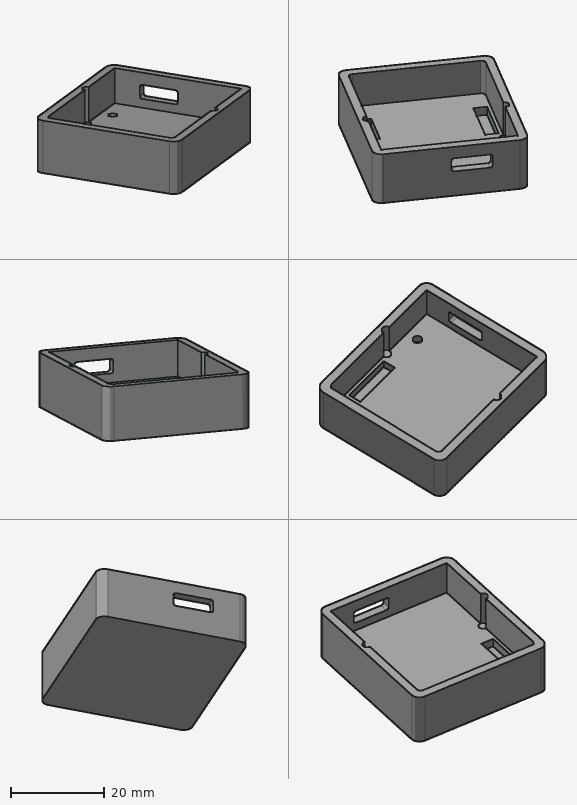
import cadquery as cq

width = 34.0
length = 38.0
height = 12.0
wall = 2.0
corner_radius = 2.0

floor_height = 4.0
cavity_width = width - 2 * wall
cavity_length = length - 2 * wall
cavity_corner_radius = 1.0

bore_diameter = 2.0
wall_bore_y = 3.0
wall_bore_recess = 0.05
recess_depth = 2.0

pocket_width = 3.0
pocket_gap = 0.8
pocket_start_y = -11.0
left_pocket_length = 12.0
right_pocket_length = 9.0
pocket_offset_x = cavity_width / 2 - pocket_gap - pocket_width / 2

floor_hole_x = -pocket_offset_x + (pocket_width - bore_diameter) / 2
floor_hole_y = 10.2

opening_width = 9.0
opening_height = 3.2
opening_radius = 0.6
opening_x = -opening_width / 2
opening_bottom = floor_height + 2.0


def box_from(size_x, size_y, size_z, center_x, center_y, bottom_z):
    """Box centred on a point in X and Y and standing on bottom_z."""
    return (
        cq.Workplane("XY")
        .box(size_x, size_y, size_z, centered=(True, True, False))
        .translate((center_x, center_y, bottom_z))
    )


def round_hole(center_x, center_y, bottom_z):
    """Vertical bore from bottom_z up to the rim."""
    bore = cq.Workplane("XY").circle(bore_diameter / 2).extrude(height - bottom_z)
    return bore.translate((center_x, center_y, bottom_z))


def floor_pocket(center_x, pocket_length):
    """Shallow rectangular pocket in the cavity floor."""
    center_y = pocket_start_y + pocket_length / 2
    bottom = floor_height - recess_depth
    return box_from(pocket_width, pocket_length, recess_depth, center_x, center_y, bottom)


body = box_from(width, length, height, 0, 0, 0).edges("|Z").fillet(corner_radius)

cavity = box_from(cavity_width, cavity_length, height - floor_height, 0, 0, floor_height)
body = body.cut(cavity.edges("|Z and <Y").fillet(cavity_corner_radius))

for side in (-1, 1):
    body = body.cut(round_hole(side * cavity_width / 2, wall_bore_y, floor_height - wall_bore_recess))

body = body.cut(round_hole(floor_hole_x, floor_hole_y, floor_height - recess_depth))

body = body.cut(floor_pocket(-pocket_offset_x, left_pocket_length))
body = body.cut(floor_pocket(pocket_offset_x, right_pocket_length))

opening_y = (length - wall) / 2
opening = box_from(opening_width, wall, opening_height, opening_x, opening_y, opening_bottom)
result = body.cut(opening.edges("|Y").fillet(opening_radius))